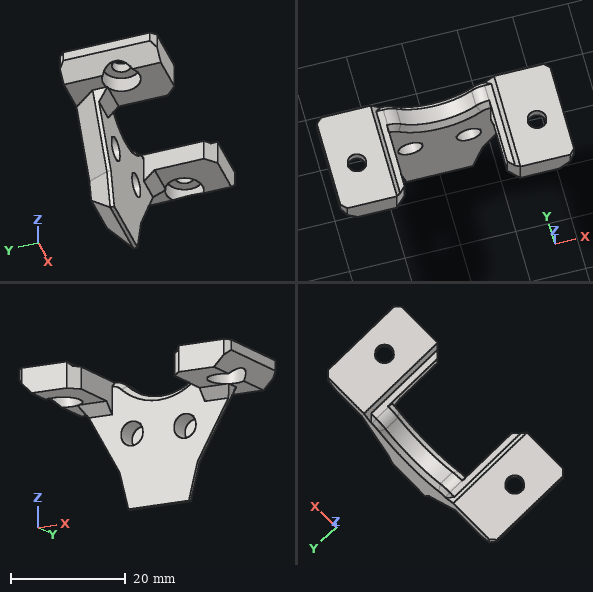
import cadquery as cq
import math

length = 42.2
depth = 18.0
height = 24.3
half_length = length / 2

wing_thickness = 4.8
wing_inner_x = 9.25
step_outer_x = 11.15
step_drop = 0.75
outer_corner_chamfer = 0.95
underside_chamfer = 2.9
screw_x = 16.25
screw_y = 8.0
screw_diameter = 3.3
head_diameter = 6.75
head_depth = 2.9

web_thickness = 5.02
web_lip = 0.75
web_draft_angle = 35.0
web_top_x = 15.05
web_kink_x = 7.75
web_kink_z = -17.5
web_bottom_x = 6.05
pin_x = 5.28
pin_z = -10.7
pin_diameter = 4.4
pin_depth = 4.0
gusset_size = 2.0

saddle_radius = 10.0
saddle_end_x = 9.15
saddle_bottom_z = -4.35
saddle_chamfer = 1.0

web_front_y = depth - web_thickness
draft_depth = web_thickness - web_lip
inner_corner_chamfer = step_outer_x - wing_inner_x


def front_plane(y):
    """Sketch plane facing the front, with local Y along global Z."""
    return cq.Workplane(cq.Plane(origin=(0, y, 0), xDir=(1, 0, 0), normal=(0, -1, 0)))


def prism(sketch, y_length):
    """Extrude a front-plane sketch towards the rear."""
    return sketch.extrude(-y_length)


def side_prism(points):
    """Prism along X with a profile in the YZ plane, as long as the part."""
    return cq.Workplane("YZ").polyline(points).close().extrude(half_length, both=True)


def web_side(inset):
    """Corners of the right side of the web, moved inwards square to its two slopes."""
    foot_slope = (web_kink_x - web_bottom_x) / (height + web_kink_z)
    upper_slope = (web_top_x - web_kink_x) / (-wing_thickness - web_kink_z)
    foot_shift = inset * math.hypot(1, foot_slope)
    upper_shift = inset * math.hypot(1, upper_slope)
    kink_rise = (upper_shift - foot_shift) / (upper_slope - foot_slope)
    kink_x = web_kink_x - foot_shift + foot_slope * kink_rise
    side_top_z = wing_thickness
    side_top_x = web_top_x - upper_shift + upper_slope * (side_top_z + wing_thickness)
    return [
        (web_bottom_x - foot_shift, -height),
        (kink_x, web_kink_z + kink_rise),
        (side_top_x, side_top_z),
    ]


def web_outline(inset):
    """Corners of the symmetric web outline with both sides moved inwards."""
    right = web_side(inset)
    left = [(-x, z) for x, z in reversed(right)]
    return right + left


def make_saddle():
    """Body under the saddle curve, chamfered along its front and rear top edges."""
    drop = -step_drop - saddle_bottom_z
    turn = 2 * math.atan(drop / saddle_end_x)
    shoulder_radius = saddle_end_x / math.sin(turn) - saddle_radius
    join_x = saddle_radius * math.sin(turn)
    join_z = saddle_bottom_z + saddle_radius * (1 - math.cos(turn))
    mid_x = saddle_end_x - shoulder_radius * math.sin(turn / 2)
    mid_z = -step_drop - shoulder_radius * (1 - math.cos(turn / 2))
    profile = (
        front_plane(web_front_y)
        .moveTo(-half_length, -height)
        .lineTo(-half_length, -step_drop)
        .lineTo(-saddle_end_x, -step_drop)
        .threePointArc((-mid_x, mid_z), (-join_x, join_z))
        .threePointArc((0, saddle_bottom_z), (join_x, join_z))
        .threePointArc((mid_x, mid_z), (saddle_end_x, -step_drop))
        .lineTo(half_length, -step_drop)
        .lineTo(half_length, -height)
        .close()
    )
    margin = 0.42
    top_edges = cq.selectors.BoxSelector(
        (margin - half_length, 0, saddle_bottom_z - margin),
        (half_length - margin, depth + margin, margin),
    )
    return prism(profile, web_thickness).edges(top_edges).edges("not |Y").chamfer(saddle_chamfer)


def make_web():
    """Web with a straight front lip, drafted sides behind it and a sloping rear foot."""
    lip = prism(front_plane(web_front_y).polyline(web_outline(0)).close(), web_lip)
    rear_inset = draft_depth * math.tan(math.radians(web_draft_angle))
    drafted = (
        front_plane(web_front_y + web_lip)
        .polyline(web_outline(0))
        .close()
        .workplane(offset=-draft_depth)
        .polyline(web_outline(rear_inset))
        .close()
        .loft(ruled=True)
    )
    foot_cut = side_prism([
        (depth - draft_depth, -height),
        (depth, -height),
        (depth, -height + draft_depth),
    ])
    return lip.union(drafted).cut(foot_cut).intersect(make_saddle())


def make_gussets():
    """Triangular ribs joining the front of the web to the wing undersides."""
    wedge = side_prism([
        (web_front_y, -wing_thickness),
        (web_front_y - gusset_size, -wing_thickness),
        (web_front_y, -wing_thickness - gusset_size),
    ])
    gap = cq.Workplane("XY").box(2 * wing_inner_x, 2 * depth, 2 * height)
    side_limits = prism(front_plane(0).polyline(web_outline(0)).close(), depth)
    return wedge.intersect(side_limits).cut(gap)


def make_wing():
    """Right-hand wing with its sloping step, inner ledge and counterbored screw hole."""
    slope_foot_z = wing_inner_x - step_outer_x
    profile = [
        (wing_inner_x, -wing_thickness),
        (wing_inner_x, slope_foot_z),
        (step_outer_x, 0),
        (half_length, 0),
        (half_length, underside_chamfer - wing_thickness),
        (half_length - underside_chamfer, -wing_thickness),
    ]
    body = prism(front_plane(0).polyline(profile).close(), depth)
    ledge = cq.Workplane("XY").box(
        step_outer_x - wing_inner_x,
        depth - saddle_chamfer,
        wing_thickness - step_drop,
        centered=False,
    ).translate((wing_inner_x, 0, -wing_thickness))
    plan = (
        cq.Workplane("XY")
        .moveTo(wing_inner_x, depth)
        .lineTo(half_length - outer_corner_chamfer, depth)
        .lineTo(half_length, depth - outer_corner_chamfer)
        .lineTo(half_length, outer_corner_chamfer)
        .lineTo(half_length - outer_corner_chamfer, 0)
        .lineTo(step_outer_x, 0)
        .lineTo(wing_inner_x, inner_corner_chamfer)
        .close()
        .extrude(-wing_thickness)
    )
    bottom = cq.Workplane("XY", origin=(screw_x, screw_y, -wing_thickness))
    screw_hole = bottom.circle(screw_diameter / 2).extrude(wing_thickness)
    head_pocket = bottom.circle(head_diameter / 2).extrude(head_depth)
    return body.union(ledge).intersect(plan).cut(screw_hole).cut(head_pocket)


def make_pin_holes():
    """Blind holes in the front face of the web."""
    centres = [(-pin_x, pin_z), (pin_x, pin_z)]
    return prism(front_plane(web_front_y).pushPoints(centres).circle(pin_diameter / 2), pin_depth)


wing = make_wing()
wings = wing.union(wing.mirror("YZ"))
result = make_web().union(make_gussets()).union(wings).cut(make_pin_holes())